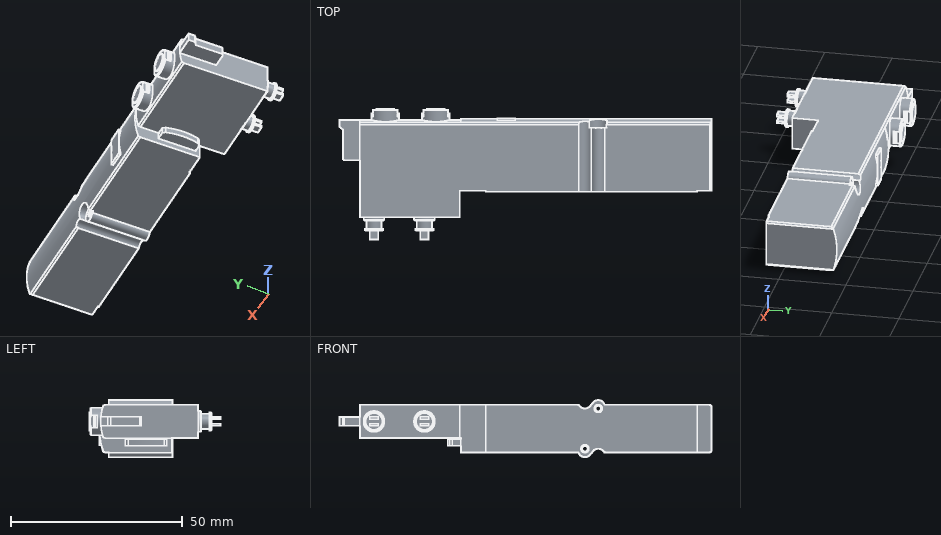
import math

import cadquery as cq


body_left = 29.4
body_right = 102.5
body_height = 14.0
body_front = 7.75
body_back = 28.8
end_chamfer = 0.5

pad_left = 36.6
pad_right = body_right - 4.25
pad_front = body_front - 0.3

block_length = 29.1
block_bottom = 4.2
block_back = 28.4
block_mid_z = (block_bottom + body_height) / 2

strip_front = 27.0
strip_back = 27.7
strip_drop = 0.25

body_mid_x = 67.5
boss_spacing = 3.9
boss_diameter = 3.9
boss_inset = 0.6
boss_back = 26.1
notch_diameter = 4.1
notch_offset = 0.95
screw_inset = 1.15
screw_diameter = 2.3
screw_neck_diameter = 1.6
screw_mouth_depth = 1.0
screw_head_diameter = 5.3

port_count = 2
port_pitch = 14.7
first_port_x = 7.4
first_plug_x = 4.1

port_diameter = 8.1
port_root = 27.0
port_back = 31.4
port_chamfer = 0.25
port_ring_diameter = 5.3
port_ring_back = 31.69
window_width = 3.9
window_reach = 3.6
window_front = 29.45
lip_front = 29.95
lip_back = 30.4

collar_diameter = 6.1
collar_length = 0.95
collar_chamfer = 0.3
neck_diameter = 4.5
flange_diameter = 5.3
flange_start = 3.25
flange_end = 3.9
flange_chamfer = 0.2
blade_width = 2.5
blade_thickness = 0.65
blade_spacing = 2.0
plug_length = 6.5

tab_reach = 6.0
tab_neck_reach = 4.95
tab_thickness = 2.65
tab_front = 16.6
tab_shoulder = 25.5
tab_head_front = 26.4
tab_corner = 0.4

latch_bottom = 1.95
latch_top = block_bottom - 0.25
latch_crest = 25.5
latch_side = 26.2
latch_shoulder = 26.85
latch_front = 9.15
latch_back = 21.2
latch_corner = 0.8

plate_left = 40.0
plate_width = 5.2
plate_height = 9.8
plate_back = 28.9
plate_front = 27.0


def box(x, y, z):
    """Box spanning three (low, high) ranges."""
    size = (x[1] - x[0], y[1] - y[0], z[1] - z[0])
    return cq.Workplane("XY").box(*size, centered=False).translate((x[0], y[0], z[0]))


def disc(x, z, diameter, y_start, y_end):
    """Cylinder along Y between two Y positions."""
    plane = cq.Workplane("XZ", origin=(x, y_start, z))
    return plane.circle(diameter / 2).extrude(y_start - y_end)


def crowned_bar(x, front, back, bottom):
    """Bar along X whose back is crowned between two sloping edge strips."""
    top = body_height
    profile = (
        cq.Workplane("YZ", origin=(x[0], 0, 0))
        .moveTo(front, bottom)
        .lineTo(strip_front, bottom)
        .lineTo(strip_back, bottom + strip_drop)
        .threePointArc((back, (bottom + top) / 2), (strip_back, top - strip_drop))
        .lineTo(strip_front, top)
        .lineTo(front, top)
        .close()
    )
    return profile.extrude(x[1] - x[0])


def half_turn(shape):
    """Shape turned half a turn about the Y line through the middle of the body."""
    start = (body_mid_x, 0, body_height / 2)
    end = (body_mid_x, 1, body_height / 2)
    return shape.rotate(start, end, 180)


def make_body():
    body = crowned_bar((body_left, body_right), body_front, body_back, 0)
    body = body.edges(">X and |Y").chamfer(end_chamfer)
    pad = box((pad_left, pad_right), (pad_front, strip_front), (0, body_height))
    return body.union(pad)


def boss_web(boss_x, boss_z, notch_x, notch_z):
    """Material under the straight flank that is tangent to both boss and notch."""
    boss_r = boss_diameter / 2
    notch_r = notch_diameter / 2
    span = math.hypot(boss_x - notch_x, notch_z - boss_z)
    line_angle = math.atan2(notch_z - boss_z, notch_x - boss_x)
    flank_angle = line_angle - math.acos((boss_r + notch_r) / span)
    along = math.cos(flank_angle)
    up = math.sin(flank_angle)
    web = (
        cq.Workplane("XZ", origin=(0, pad_front, 0))
        .moveTo(boss_x, boss_z)
        .lineTo(boss_x + boss_r * along, boss_z + boss_r * up)
        .lineTo(notch_x - notch_r * along, notch_z - notch_r * up)
        .close()
    )
    return web.extrude(pad_front - boss_back)


def add_mounts(body):
    boss_x = body_mid_x + boss_spacing / 2
    notch_x = body_mid_x - boss_spacing / 2
    boss_z = body_height - boss_inset
    notch_z = body_height + notch_offset
    screw_z = body_height - screw_inset
    notch = disc(notch_x, notch_z, notch_diameter, pad_front, body_back)
    boss = disc(boss_x, boss_z, boss_diameter, pad_front, boss_back)
    boss = boss.union(boss_web(boss_x, boss_z, notch_x, notch_z))
    bore = disc(boss_x, screw_z, screw_neck_diameter, pad_front, body_back)
    mouth = disc(boss_x, screw_z, screw_diameter, pad_front, pad_front + screw_mouth_depth)
    head = disc(boss_x, screw_z, screw_head_diameter, boss_back, body_back)
    screw = bore.union(mouth).union(head)
    body = body.cut(notch).cut(half_turn(notch))
    body = body.union(boss).union(half_turn(boss))
    return body.cut(screw).cut(half_turn(screw))


def make_block():
    block = crowned_bar((0, block_length), 0, block_back, block_bottom)
    bridge = crowned_bar((block_length, body_left), body_front, block_back, block_bottom)
    return block.union(bridge)


def make_port(x):
    port = disc(x, block_mid_z, port_diameter, port_root, port_back)
    port = port.faces(">Y").chamfer(port_chamfer)
    ring = disc(x, block_mid_z, port_ring_diameter, port_root, port_ring_back)
    z = (block_mid_z - window_width / 2, block_mid_z + window_width / 2)
    radius = port_diameter / 2
    for side in ((x - radius, x - window_reach), (x + window_reach, x + radius)):
        port = port.cut(box(side, (window_front, lip_front), z))
        port = port.cut(box(side, (lip_back, port_back), z))
    return port.union(ring)


def make_plug(x):
    plug = disc(x, block_mid_z, neck_diameter, 0, -flange_end)
    collar = disc(x, block_mid_z, collar_diameter, 0, -collar_length)
    flange = disc(x, block_mid_z, flange_diameter, -flange_start, -flange_end)
    plug = plug.union(collar.faces("<Y").chamfer(collar_chamfer))
    plug = plug.union(flange.faces("<Y").chamfer(flange_chamfer))
    for side in (-1, 1):
        blade_z = block_mid_z + side * blade_spacing / 2
        blade = box(
            (x - blade_width / 2, x + blade_width / 2),
            (-plug_length, -flange_start),
            (blade_z - blade_thickness / 2, blade_z + blade_thickness / 2),
        )
        plug = plug.union(blade)
    return plug


def make_tab():
    outline = [
        (0, tab_front),
        (-tab_neck_reach + tab_corner, tab_front),
        (-tab_neck_reach, tab_front + tab_corner),
        (-tab_neck_reach, tab_shoulder),
        (-tab_reach, tab_head_front),
        (-tab_reach, block_back),
        (0, block_back),
    ]
    plane = cq.Workplane("XY", origin=(0, 0, block_mid_z - tab_thickness / 2))
    tab = plane.polyline(outline).close().extrude(tab_thickness)
    root = box(
        (0, block_length / 2),
        (tab_front, strip_front),
        (block_mid_z - tab_thickness / 2, block_mid_z + tab_thickness / 2),
    )
    return tab.union(root)


def make_latch():
    latch = (
        cq.Workplane("XY", origin=(0, 0, latch_bottom))
        .moveTo(body_left, latch_front)
        .lineTo(latch_shoulder, latch_front)
        .lineTo(latch_side, latch_front + latch_corner)
        .threePointArc(
            (latch_crest, (latch_front + latch_back) / 2),
            (latch_side, latch_back - latch_corner),
        )
        .lineTo(latch_shoulder, latch_back)
        .lineTo(body_left, latch_back)
        .close()
    )
    return latch.extrude(latch_top - latch_bottom)


def make_plate():
    low = (body_height - plate_height) / 2
    return box(
        (plate_left, plate_left + plate_width),
        (plate_front, plate_back),
        (low, low + plate_height),
    )


result = add_mounts(make_body()).union(make_block())
for index in range(port_count):
    shift = index * port_pitch
    result = result.union(make_port(first_port_x + shift))
    result = result.union(make_plug(first_plug_x + shift))
for extra in (make_tab(), make_latch(), make_plate()):
    result = result.union(extra)